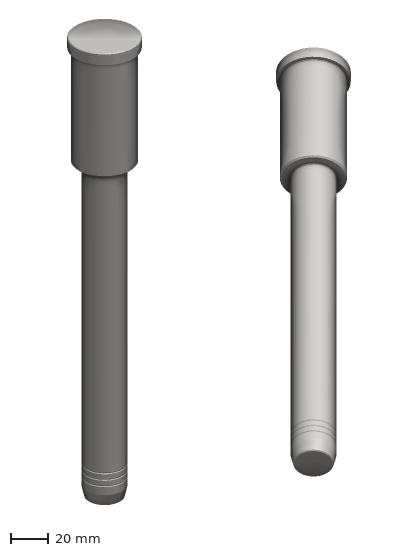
import cadquery as cq

TOTAL_LENGTH = 280.0

HEAD_DIAMETER = 40.0
HEAD_HEIGHT = 7.0
HEAD_CHAMFER = 0.5
HEAD_BOTTOM_Z = TOTAL_LENGTH - HEAD_HEIGHT

BODY_DIAMETER = 36.0
BODY_LENGTH = 69.5
BODY_CHAMFER = 0.8
BODY_BOTTOM_Z = HEAD_BOTTOM_Z - BODY_LENGTH

SHAFT_DIAMETER = 25.0

GROOVE_WIDTH = 1.0
GROOVE_DEPTH = 0.35
TIP_GROOVE_COUNT = 3
TIP_GROOVE_PITCH = 4.0
LOWEST_GROOVE_Z = 12.0

TIP_HEIGHT = 7.3
TIP_DIAMETER = 21.5
TIP_CHAMFER = 0.5


def cylinder(diameter, bottom_z, top_z):
    """Solid cylinder on the Z axis between two heights."""
    return cq.Workplane("XY").workplane(offset=bottom_z).circle(diameter / 2).extrude(top_z - bottom_z)


def v_groove(diameter, bottom_z):
    """V-section ring to remove from a cylindrical surface of the given diameter."""
    surface = diameter / 2
    section = [
        (surface, bottom_z),
        (surface, bottom_z + GROOVE_WIDTH),
        (surface - GROOVE_DEPTH, bottom_z + GROOVE_WIDTH / 2),
    ]
    return cq.Workplane("XZ").polyline(section).close().revolve(360, (0, 0, 0), (0, 1, 0))


def make_head():
    """Flange with a chamfered top edge."""
    head = cylinder(HEAD_DIAMETER, HEAD_BOTTOM_Z, TOTAL_LENGTH)
    return head.faces(">Z").chamfer(HEAD_CHAMFER)


def make_body():
    """Body with a chamfered lower edge and a groove under the head."""
    body = cylinder(BODY_DIAMETER, BODY_BOTTOM_Z, HEAD_BOTTOM_Z).faces("<Z").chamfer(BODY_CHAMFER)
    return body.cut(v_groove(BODY_DIAMETER, HEAD_BOTTOM_Z - GROOVE_WIDTH))


def make_shaft():
    """Shaft with a groove under the body and evenly spaced grooves near the tip."""
    shaft = cylinder(SHAFT_DIAMETER, TIP_HEIGHT, BODY_BOTTOM_Z)
    shaft = shaft.cut(v_groove(SHAFT_DIAMETER, BODY_BOTTOM_Z - GROOVE_WIDTH))
    for index in range(TIP_GROOVE_COUNT):
        shaft = shaft.cut(v_groove(SHAFT_DIAMETER, LOWEST_GROOVE_Z + index * TIP_GROOVE_PITCH))
    return shaft


def make_tip():
    """Cone narrowing downward, with its bottom edge chamfered."""
    tip = (
        cq.Workplane("XY")
        .circle(TIP_DIAMETER / 2)
        .workplane(offset=TIP_HEIGHT)
        .circle(SHAFT_DIAMETER / 2)
        .loft(ruled=True)
    )
    return tip.faces("<Z").chamfer(TIP_CHAMFER)


result = make_head().union(make_body()).union(make_shaft()).union(make_tip())